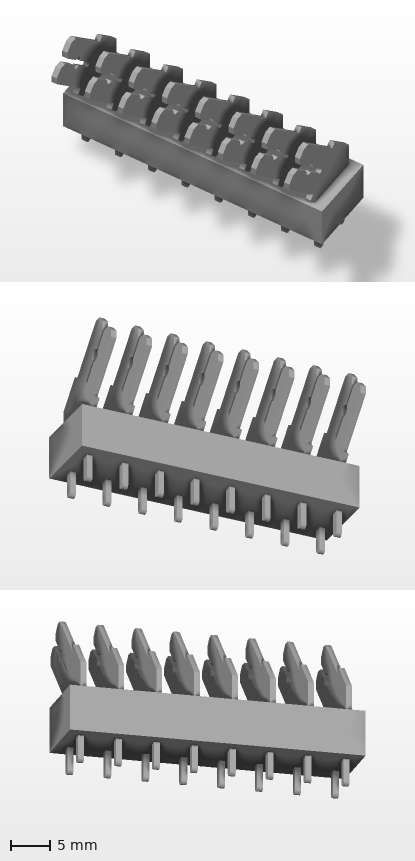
import cadquery as cq
import math

housing_length = 39.0
housing_depth = 9.8
housing_height = 6.0

contact_count = 8
end_margin = 2.0
contact_pitch = (housing_length - 2 * end_margin) / (contact_count - 1)
contact_thickness = 0.78

leg_width = 1.0
leg_row_spacing = 5.0
leg_protrusion = 3.5

base_width = 8.1
base_back_height = 3.5
bend_angle = 45.0
shoulder_width = 8.05
shoulder_distance = 4.85

fork_length = 8.75
fork_width = 6.35
fork_tip_chamfer = 0.75
slot_width = 0.7
slot_end_distance = 0.78
relief_diameter = 1.65
relief_distance = fork_length / 2

lean = math.radians(bend_angle)
along = (-math.sin(lean), math.cos(lean))
across = (math.cos(lean), math.sin(lean))

back_corner = (base_width / 2, housing_height + base_back_height)
front_corner_y = -base_width / 2
front_corner_z = back_corner[1] - (shoulder_width - base_width * across[0]) / across[1]
shoulder_y = back_corner[0] + shoulder_distance * along[0] - shoulder_width / 2 * across[0]
shoulder_z = back_corner[1] + shoulder_distance * along[1] - shoulder_width / 2 * across[1]

contact_positions = [(i - (contact_count - 1) / 2) * contact_pitch for i in range(contact_count)]
leg_positions = [-leg_row_spacing / 2, leg_row_spacing / 2]


def fork_point(distance, offset):
    """Point a distance beyond the shoulder and offset from the fork's centreline."""
    return (
        shoulder_y + distance * along[0] + offset * across[0],
        shoulder_z + distance * along[1] + offset * across[1],
    )


def plate(outline, x):
    """Extrude a closed YZ outline to the contact thickness, centred on x."""
    return outline.extrude(contact_thickness / 2, both=True).translate((x, 0, 0))


def make_blade(x):
    half_shoulder = shoulder_width / 2
    half_fork = fork_width / 2
    half_slot = slot_width / 2
    chamfer_start = fork_length - fork_tip_chamfer

    def prong(side):
        """Points of one prong, from its shoulder round the tip to the slot."""
        return [
            fork_point(0, side * half_shoulder),
            fork_point(0, side * half_fork),
            fork_point(chamfer_start, side * half_fork),
            fork_point(fork_length, side * (half_fork - fork_tip_chamfer)),
            fork_point(fork_length, side * (half_slot + fork_tip_chamfer)),
            fork_point(chamfer_start, side * half_slot),
            fork_point(slot_end_distance, side * half_slot),
        ]

    front_prong = prong(-1)
    back_prong = prong(1)
    outline = (
        cq.Workplane("YZ")
        .moveTo(base_width / 2, housing_height)
        .lineTo(*back_corner)
    )
    for point in back_prong:
        outline = outline.lineTo(*point)
    outline = outline.threePointArc(fork_point(slot_end_distance - half_slot, 0), front_prong[-1])
    for point in reversed(front_prong[:-1]):
        outline = outline.lineTo(*point)
    outline = (
        outline.lineTo(front_corner_y, front_corner_z)
        .lineTo(front_corner_y, housing_height)
        .close()
    )
    relief = (
        cq.Workplane("YZ")
        .center(*fork_point(relief_distance, 0))
        .circle(relief_diameter / 2)
    )
    return plate(outline, x).cut(plate(relief, x))


def make_leg(x, y):
    """Straight leg with a rounded tip, from the top of the housing to below its base."""
    half_width = leg_width / 2
    tip_start = half_width - leg_protrusion
    outline = (
        cq.Workplane("YZ")
        .moveTo(y - half_width, housing_height)
        .lineTo(y - half_width, tip_start)
        .threePointArc((y, -leg_protrusion), (y + half_width, tip_start))
        .lineTo(y + half_width, housing_height)
        .close()
    )
    return plate(outline, x)


def make_contact(x):
    contact = make_blade(x)
    for y in leg_positions:
        contact = contact.union(make_leg(x, y))
    return contact


def make_housing():
    block = cq.Workplane("XY").box(
        housing_length, housing_depth, housing_height, centered=(True, True, False)
    )
    leg_holes = (
        cq.Workplane("XY")
        .pushPoints([(x, y) for x in contact_positions for y in leg_positions])
        .rect(contact_thickness, leg_width)
        .extrude(housing_height)
    )
    return block.cut(leg_holes)


housing = make_housing()
contacts = [make_contact(x) for x in contact_positions]

result = cq.Compound.makeCompound([housing.val(), *[contact.val() for contact in contacts]])